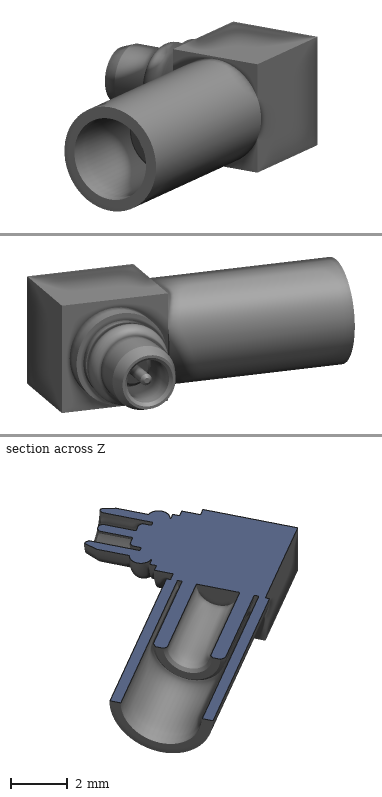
import cadquery as cq


body_side = 4.0
body_width = 3.52

plug_length = 3.48
tip_radius = 1.0
barrel_radius = 1.19
tip_taper_length = 0.52
ring_center = 2.11
ring_section_radius = 0.42
ring_outer_radius = 1.5
collar_radius = 1.44
flange_radius = 1.7
flange_start = 2.78

socket_radius = 0.79
socket_mouth_radius = 0.9
socket_depth = 1.98
insulator_radius = 0.65
insulator_depth = 1.54
insulator_chamfer = 0.12
pin_radius = 0.21
pin_depth = 0.2
pin_chamfer = 0.11

total_length = 11.0
tube_radius = 1.91
tube_bore_radius = 1.5
ferrule_radius = 1.34
ferrule_chamfer = 0.14
ferrule_recess = 3.3
ferrule_bore_radius = 0.79
ferrule_bore_chamfer = 0.11

tube_length = total_length - body_side
ferrule_length = tube_length - ferrule_recess
tip_x = -body_width / 2 - plug_length


def make_plug():
    """Revolve the plug, with its socket, insulator and pin, about the X axis."""
    collar_start = ring_center + ring_section_radius
    mouth_depth = socket_mouth_radius - socket_radius
    shell = [
        (0, socket_mouth_radius),
        (0, tip_radius),
        (tip_taper_length, barrel_radius),
        (collar_start, barrel_radius),
        (collar_start, collar_radius),
        (flange_start, collar_radius),
        (flange_start, flange_radius),
        (plug_length, flange_radius),
    ]
    core = [
        (plug_length, 0),
        (pin_depth, 0),
        (pin_depth, pin_radius - pin_chamfer),
        (pin_depth + pin_chamfer, pin_radius),
        (insulator_depth, pin_radius),
        (insulator_depth, insulator_radius - insulator_chamfer),
        (insulator_depth + insulator_chamfer, insulator_radius),
        (socket_depth, insulator_radius),
        (socket_depth, socket_radius),
        (mouth_depth, socket_radius),
    ]
    plug = cq.Workplane("XY").polyline(shell + core).close().revolve(360, (0, 0, 0), (1, 0, 0))
    ring_center_radius = ring_outer_radius - ring_section_radius
    ring = (
        cq.Workplane("XY", origin=(ring_center, 0, 0))
        .center(0, ring_center_radius)
        .circle(ring_section_radius)
        .revolve(360, (0, -ring_center_radius, 0), (1, -ring_center_radius, 0))
    )
    ring_hole = cq.Workplane("YZ").circle(socket_radius).extrude(plug_length)
    return plug.union(ring.cut(ring_hole)).translate((tip_x, 0, 0))


def make_crimp_end():
    """Build the crimp tube and the shorter chamfered ferrule inside it."""
    front_face = cq.Workplane("XZ", origin=(0, -body_side / 2, 0))
    tube = front_face.circle(tube_radius).circle(tube_bore_radius).extrude(tube_length)
    ferrule = (
        front_face.circle(ferrule_radius)
        .extrude(ferrule_length)
        .faces("<Y").chamfer(ferrule_chamfer)
        .faces("<Y").workplane().hole(2 * ferrule_bore_radius, ferrule_length)
        .faces("<Y").edges(cq.selectors.RadiusNthSelector(0))
        .chamfer(ferrule_bore_chamfer)
    )
    return tube.union(ferrule)


body = cq.Workplane("XY").box(body_width, body_side, body_side)
result = body.union(make_plug()).union(make_crimp_end())